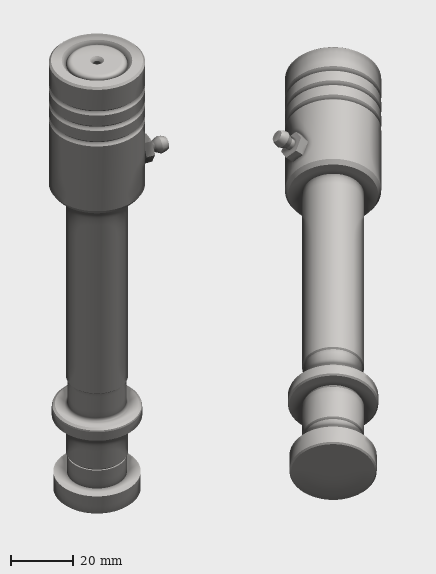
import cadquery as cq
import math

total_height = 169.0
total_depth = 40.0

bush_diameter = 31.0
bush_radius = bush_diameter / 2
bush_length = 50.0
bush_bottom = total_height - bush_length
bush_top_chamfer = 0.7
bush_lead_height = 1.5
bush_lead_depth = 1.0
bore_chamfer = 1.4
groove_count = 3
groove_first_depth = 9.8
groove_pitch = 6.0
groove_half_width = 1.0

post_radius = 10.0
post_round = 2.0
post_edge_chamfer = 0.5
post_end_chamfer = 0.8
neck_radius = 9.5
neck_top = 44.3
collar_radius = 14.5
collar_top = 33.8
collar_bottom = 28.9
collar_rim_width = 0.8
collar_rim_height = 0.5
collar_bevel_width = 0.2
collar_bevel_height = 0.5
collar_lower_chamfer = 0.5
collar_fillet = 1.0
undercut_height = 0.7
post_bottom = 14.2
center_hole_radius = 1.2
center_hole_depth = 3.4
drill_point_angle = 118
countersink_diameter = 4.5
countersink_radius = countersink_diameter / 2

cap_radius = 14.0
cap_thickness = 7.1
cap_chamfer = 0.5
stub_radius = 9.6

nipple_z = 129.1
nipple_tip = total_depth - bush_radius
hex_across_flats = 8.1
hex_seat = 15.4
hex_end = 18.5
nipple_neck_radius = 1.9
nipple_neck_end = 19.8
nipple_ring_y = 22.0
nipple_ring_radius = 2.9
nipple_head_y = 23.7
nipple_head_radius = 2.5
nipple_tip_radius = 2.0
stem_radius = 3.0
stem_length = 3.4


def nipple_cylinder(radius, start, end):
    """Cylinder along +Y on the nipple axis."""
    plane = cq.Workplane("XZ", origin=(0, start, nipple_z))
    return plane.circle(radius).extrude(start - end)


def make_bush():
    """Grooved sleeve bored to the post, with the seat and hole for the nipple."""
    lead_radius = bush_radius - bush_lead_depth
    bush = (
        cq.Workplane("XZ")
        .moveTo(post_radius, bush_bottom)
        .lineTo(lead_radius, bush_bottom)
        .lineTo(bush_radius, bush_bottom + bush_lead_height)
        .lineTo(bush_radius, total_height - bush_top_chamfer)
        .lineTo(bush_radius - bush_top_chamfer, total_height)
        .lineTo(post_radius + bore_chamfer, total_height)
        .lineTo(post_radius, total_height - bore_chamfer)
        .close()
        .revolve(360, (0, 0, 0), (0, 1, 0))
    )
    for index in range(groove_count):
        bush = bush.cut(make_groove(total_height - groove_first_depth - index * groove_pitch))
    return bush.cut(make_nipple())


def make_groove(z):
    """Ring with a 90 degree V section that cuts one groove centred on z."""
    return (
        cq.Workplane("XZ")
        .moveTo(bush_radius - groove_half_width, z)
        .lineTo(bush_radius, z + groove_half_width)
        .lineTo(bush_radius + groove_half_width, z)
        .lineTo(bush_radius, z - groove_half_width)
        .close()
        .revolve(360, (0, 0, 0), (0, 1, 0))
    )


def make_post():
    """Turned post with a collar, revolved from its half section."""
    collar_rim_bottom = collar_top - collar_rim_height
    collar_bevel_radius = collar_radius - collar_bevel_width
    shaft_low_top = collar_bottom - undercut_height
    round_middle = post_round * math.sqrt(0.5)
    fillet_middle = collar_fillet * (1 - math.sqrt(0.5))
    post = (
        cq.Workplane("XZ")
        .moveTo(0, post_bottom)
        .lineTo(post_radius - post_end_chamfer, post_bottom)
        .lineTo(post_radius, post_bottom + post_end_chamfer)
        .lineTo(post_radius, shaft_low_top - post_edge_chamfer)
        .lineTo(neck_radius, shaft_low_top)
        .lineTo(neck_radius, collar_bottom)
        .lineTo(collar_radius - collar_lower_chamfer, collar_bottom)
        .lineTo(collar_radius, collar_bottom + collar_lower_chamfer)
        .lineTo(collar_radius, collar_rim_bottom - collar_bevel_height)
        .lineTo(collar_bevel_radius, collar_rim_bottom)
        .lineTo(collar_bevel_radius - collar_rim_width, collar_top)
        .lineTo(neck_radius + collar_fillet, collar_top)
        .threePointArc(
            (neck_radius + fillet_middle, collar_top + fillet_middle),
            (neck_radius, collar_top + collar_fillet),
        )
        .lineTo(neck_radius, neck_top)
        .lineTo(post_radius, neck_top + post_edge_chamfer)
        .lineTo(post_radius, total_height - post_round)
        .threePointArc(
            (post_radius - post_round + round_middle, total_height - post_round + round_middle),
            (post_radius - post_round, total_height),
        )
        .lineTo(0, total_height)
        .close()
        .revolve(360, (0, 0, 0), (0, 1, 0))
    )
    return post.cut(make_center_hole())


def make_center_hole():
    """Drilled centre hole with a conical bottom and a 90 degree countersink."""
    tip_height = center_hole_radius / math.tan(math.radians(drill_point_angle / 2))
    sink_depth = countersink_radius - center_hole_radius
    return (
        cq.Workplane("XZ")
        .moveTo(0, total_height)
        .lineTo(countersink_radius, total_height)
        .lineTo(center_hole_radius, total_height - sink_depth)
        .lineTo(center_hole_radius, total_height - center_hole_depth)
        .lineTo(0, total_height - center_hole_depth - tip_height)
        .close()
        .revolve(360, (0, 0, 0), (0, 1, 0))
    )


def make_end_cap():
    """Disc with a stub that meets the lower end of the post."""
    disc = cq.Workplane("XY").circle(cap_radius).extrude(cap_thickness)
    disc = disc.faces("<Z").edges().chamfer(cap_chamfer)
    stub = cq.Workplane("XY").circle(stub_radius).extrude(post_bottom)
    return disc.union(stub)


def make_nipple():
    """Hexagon with a waisted head outside and a stem that enters the bush wall."""
    hex_corners = hex_across_flats / math.cos(math.radians(30))
    hexagon = (
        cq.Workplane("XZ", origin=(0, hex_seat, nipple_z))
        .polygon(6, hex_corners)
        .extrude(hex_seat - hex_end)
    )
    head = (
        cq.Workplane("XY", origin=(0, 0, nipple_z))
        .moveTo(0, hex_end)
        .lineTo(nipple_neck_radius, hex_end)
        .lineTo(nipple_neck_radius, nipple_neck_end)
        .lineTo(nipple_ring_radius, nipple_ring_y)
        .threePointArc((nipple_head_radius, nipple_head_y), (nipple_tip_radius, nipple_tip))
        .lineTo(0, nipple_tip)
        .close()
        .revolve(360, (0, 0, 0), (0, 1, 0))
    )
    stem = nipple_cylinder(stem_radius, hex_seat - stem_length, hex_seat)
    return hexagon.union(head).union(stem)


bush = make_bush()
post = make_post()
end_cap = make_end_cap()
nipple = make_nipple()

result = cq.Compound.makeCompound([bush.val(), post.val(), end_cap.val(), nipple.val()])